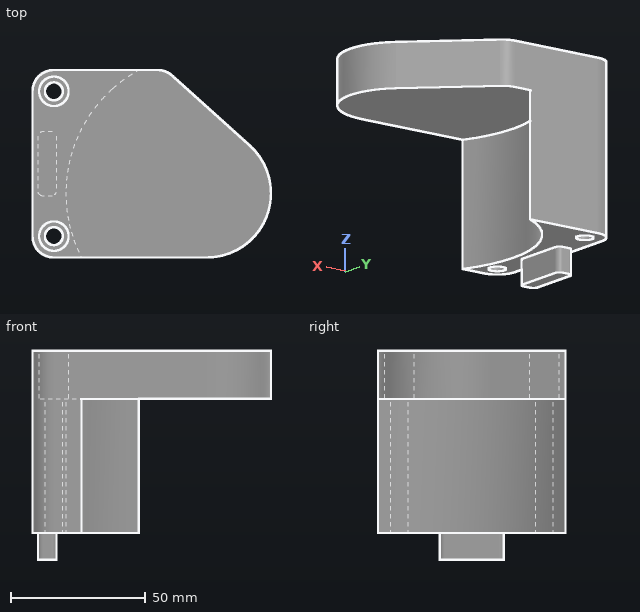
import cadquery as cq
import math

width = 70.0
plate_thickness = 18.0
block_height = 68.0
key_height = 10.0

corner_radius = 8.0
nose_radius = 24.0
nose_x = 65.0
nose_y = nose_radius - width / 2
shoulder_x = 46.7
shoulder_y = width / 2 - corner_radius

hollow_radius = 52.5

hole_diameter = 6.6
counterbore_diameter = 11.0
counterbore_depth = plate_thickness
hole_y = width / 2 - corner_radius

key_length = 24.0
key_width = 7.0
key_x = 5.5
key_corner_radius = 2.0


def point_on_circle(center_x, center_y, radius, angle):
    return (center_x + radius * math.cos(angle), center_y + radius * math.sin(angle))


def make_outline_prism():
    """Full-height prism whose slanted side is tangent to the shoulder and nose arcs."""
    run_x = nose_x - shoulder_x
    run_y = nose_y - shoulder_y
    center_distance = math.hypot(run_x, run_y)
    tilt = math.asin((nose_radius - corner_radius) / center_distance)
    normal = math.atan2(run_y, run_x) + tilt + math.pi / 2
    shoulder_middle = (normal + math.pi / 2) / 2
    nose_middle = (normal - math.pi / 2) / 2
    half = width / 2
    return (
        cq.Workplane("XY")
        .moveTo(0, -half)
        .lineTo(0, half)
        .lineTo(shoulder_x, half)
        .threePointArc(
            point_on_circle(shoulder_x, shoulder_y, corner_radius, shoulder_middle),
            point_on_circle(shoulder_x, shoulder_y, corner_radius, normal),
        )
        .lineTo(*point_on_circle(nose_x, nose_y, nose_radius, normal))
        .threePointArc(
            point_on_circle(nose_x, nose_y, nose_radius, nose_middle),
            (nose_x, -half),
        )
        .close()
        .extrude(block_height)
        .edges("|Z and <X")
        .fillet(corner_radius)
    )


def make_hollow():
    """Cylinder that clears the space under the plate and leaves the concave block."""
    return (
        cq.Workplane("XY")
        .center(nose_x, nose_y)
        .circle(hollow_radius)
        .extrude(block_height - plate_thickness)
    )


def make_key():
    return (
        cq.Workplane("XY")
        .center(key_x, 0)
        .rect(key_width, key_length)
        .extrude(-key_height)
        .edges("|Z")
        .fillet(key_corner_radius)
    )


def cut_screw_holes(body):
    return (
        body.faces(">Z")
        .workplane(origin=(0, 0, block_height))
        .pushPoints([(corner_radius, -hole_y), (corner_radius, hole_y)])
        .cboreHole(hole_diameter, counterbore_diameter, counterbore_depth)
    )


block = make_outline_prism().cut(make_hollow())
result = cut_screw_holes(block).union(make_key())